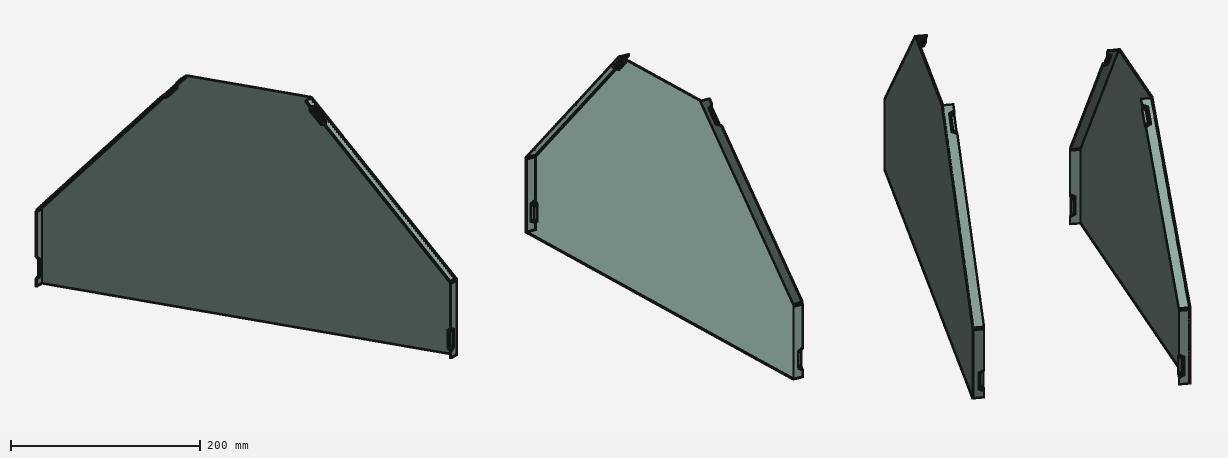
import cadquery as cq
import math

length = 500.0
height = 259.5
depth = 12.5
sheet = 1.25
slant_rise = 175.0
side_height = height - slant_rise
slant_length = slant_rise * math.sqrt(2)
half_length = length / 2

corner_relief = 1.5
upper_setback = 0.5

dimple_base_length = 26.0
dimple_crest_length = 20.0
dimple_depth = 3.0
dimple_width = 6.0
dimple_slope_width = 2.5
side_dimple_center = 20.5
slant_dimple_setback = 20.5


def make_plate():
    """Flat plate at the back, with both upper corners cut at 45 degrees."""
    return (
        cq.Workplane("XY")
        .box(length, sheet, height, centered=(True, False, False))
        .translate((0, depth - sheet, 0))
        .edges("|Y and >Z")
        .chamfer(slant_rise)
    )


def dimple_body(center, inner_offset):
    """Tapered dimple reaching inner_offset beyond the outer flange face."""
    crest_width = dimple_width - dimple_slope_width
    return (
        cq.Workplane("YZ")
        .center(0, center)
        .moveTo(0, -dimple_base_length / 2)
        .lineTo(dimple_width, -dimple_crest_length / 2)
        .lineTo(dimple_width, dimple_crest_length / 2)
        .lineTo(0, dimple_base_length / 2)
        .close()
        .workplane(offset=inner_offset)
        .moveTo(0, -dimple_crest_length / 2)
        .lineTo(crest_width, -dimple_crest_length / 2 + dimple_slope_width)
        .lineTo(crest_width, dimple_crest_length / 2 - dimple_slope_width)
        .lineTo(0, dimple_crest_length / 2)
        .close()
        .loft(ruled=True)
    )


def make_flange(start, end, dimple_center):
    """Upright flange with its outer face at X = 0 and its inner face toward +X."""
    wall = cq.Workplane("XY").box(sheet, depth, end - start, centered=False).translate((0, 0, start))
    pressed = dimple_body(dimple_center, dimple_depth + sheet)
    hollow = dimple_body(dimple_center, dimple_depth)
    return wall.union(pressed).cut(hollow)


side_flange = make_flange(0, side_height - corner_relief, side_dimple_center)
slant_flange = make_flange(corner_relief, slant_length - upper_setback, slant_length - slant_dimple_setback)

left_side = side_flange.translate((-half_length, 0, 0))
left_slant = slant_flange.rotate((0, 0, 0), (0, 1, 0), 45).translate((-half_length, 0, side_height))

result = make_plate()
for flange in (left_side, left_slant):
    result = result.union(flange).union(flange.mirror("YZ"))